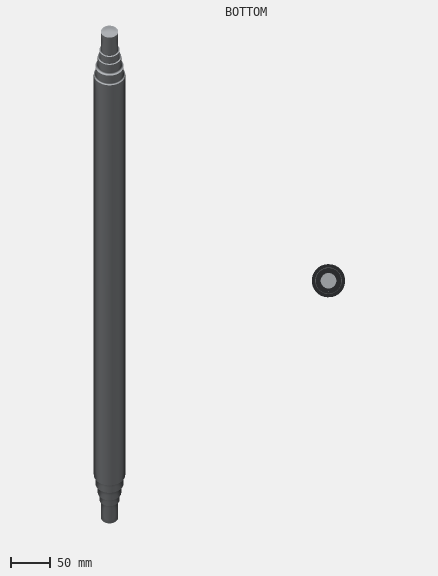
import cadquery as cq

total_length = 850.0
body_diameter = 40.0

stub_diameter = 22.0
stub_length = 32.0
outer_seat_diameter = 26.0
outer_seat_length = 12.0
inner_seat_diameter = 30.0
inner_seat_length = 16.0
collar_diameter = 36.0
collar_length = 15.0

collar_root_fillet = 2.0
body_root_fillet = 1.5

body_radius = body_diameter / 2
stub_radius = stub_diameter / 2
outer_seat_radius = outer_seat_diameter / 2
inner_seat_radius = inner_seat_diameter / 2
collar_radius = collar_diameter / 2
shaft_end = total_length / 2
outer_seat_shoulder = shaft_end - stub_length
inner_seat_shoulder = outer_seat_shoulder - outer_seat_length
collar_shoulder = inner_seat_shoulder - inner_seat_length
body_shoulder = collar_shoulder - collar_length


def fillet_to_shoulder(profile, radius, shoulder, fillet):
    """Run along a cylinder of the given radius down to a shoulder, rounding the inside corner."""
    profile = profile.lineTo(radius, shoulder + fillet)
    return profile.radiusArc((radius + fillet, shoulder), -fillet)


def half_shaft():
    """Upper half of the shaft, revolved about Z from the mid-plane to the end face."""
    profile = (
        cq.Workplane("XZ")
        .moveTo(0, shaft_end)
        .lineTo(stub_radius, shaft_end)
        .lineTo(stub_radius, outer_seat_shoulder)
        .lineTo(outer_seat_radius, outer_seat_shoulder)
        .lineTo(outer_seat_radius, inner_seat_shoulder)
        .lineTo(inner_seat_radius, inner_seat_shoulder)
    )
    profile = fillet_to_shoulder(profile, inner_seat_radius, collar_shoulder, collar_root_fillet)
    profile = profile.lineTo(collar_radius, collar_shoulder)
    profile = fillet_to_shoulder(profile, collar_radius, body_shoulder, body_root_fillet)
    profile = profile.lineTo(body_radius, body_shoulder).lineTo(body_radius, 0).lineTo(0, 0).close()
    return profile.revolve(360, (0, 0, 0), (0, 1, 0))


upper_half = half_shaft()
result = upper_half.union(upper_half.mirror("XY"))